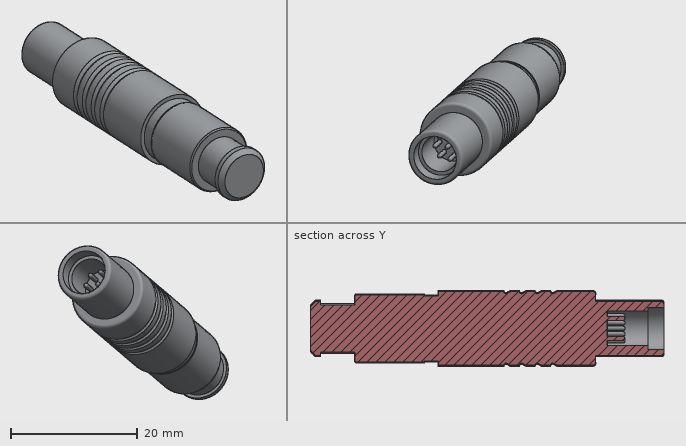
import cadquery as cq
import math

nose_end = 10.8
body_end = 35.8
neck_end = 37.95
rear_end = 49.0
rim_start = 54.4
length = 56.0

nose_radius = 4.5
body_radius = 6.0
neck_radius = 5.3
rear_radius = 5.5
stem_radius = 4.0
rim_radius = nose_radius

edge_round = 0.45
rear_chamfer = 0.2
rim_chamfer = 0.8

groove_count = 4
groove_first = 17.5
groove_pitch = 2.45
groove_width = 1.0
groove_slope_depth = 0.3

bore_radius = 3.5
bore_depth = 2.5
seat_radius = 2.95
seat_depth = 8.95

pin_radius = 0.365
pin_length = 2.8
ring_pin_count = 7
ring_radius = 2.0


def cylinder(start, end, radius):
    """Solid cylinder on the X axis between two stations."""
    return cq.Workplane("YZ").workplane(offset=start).circle(radius).extrude(end - start)


def outer_shell():
    """Stack of plain cylinders with their rounded or bevelled ends."""
    nose = cylinder(0, nose_end, nose_radius).faces("<X").edges().fillet(edge_round)
    body = cylinder(nose_end, body_end, body_radius).faces("<X").edges().fillet(edge_round)
    neck = cylinder(body_end, neck_end, neck_radius)
    rear = cylinder(neck_end, rear_end, rear_radius).faces(">X").edges().chamfer(rear_chamfer)
    stem = cylinder(rear_end, rim_start, stem_radius)
    rim = cylinder(rim_start, length, rim_radius).faces(">X").edges().chamfer(rim_chamfer)
    return nose.union(body).union(neck).union(rear).union(stem).union(rim)


def groove(center):
    """Ring cutting a groove: a straight slope in, then a tangent arc curling back up to the surface."""
    half = groove_width / 2
    clear_radius = body_radius + groove_slope_depth
    return (
        cq.Workplane("XY")
        .moveTo(center - half, clear_radius)
        .lineTo(center - half, body_radius)
        .lineTo(center, body_radius - groove_slope_depth)
        .tangentArcPoint((center + half, body_radius), relative=False)
        .lineTo(center + half, clear_radius)
        .close()
        .revolve(360, (0, 0, 0), (1, 0, 0))
    )


def socket():
    """Wide bore at the mouth, stepping down to a narrower seat that ends in a flat floor."""
    return cylinder(0, bore_depth, bore_radius).union(cylinder(bore_depth, seat_depth, seat_radius))


def pins():
    """Contact pins with domed tips, standing on the socket floor and facing the mouth."""
    spots = [(0, 0)]
    for i in range(ring_pin_count):
        angle = 2 * math.pi * i / ring_pin_count
        spots.append((ring_radius * math.cos(angle), ring_radius * math.sin(angle)))
    tip_center = seat_depth - pin_length + pin_radius
    floor = cq.Workplane("YZ").workplane(offset=seat_depth)
    shanks = floor.pushPoints(spots).circle(pin_radius).extrude(tip_center - seat_depth)
    domes = cq.Workplane("YZ").workplane(offset=tip_center).pushPoints(spots).sphere(pin_radius)
    return shanks.union(domes)


result = outer_shell()
for i in range(groove_count):
    result = result.cut(groove(groove_first + i * groove_pitch))
result = result.cut(socket()).union(pins())